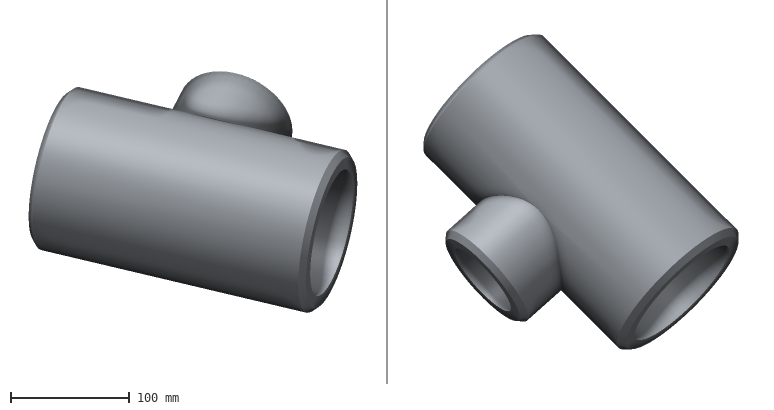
import cadquery as cq

run_length = 248.0
run_diameter = 141.3
bore_diameter = 109.5
wall = (run_diameter - bore_diameter) / 2

branch_diameter = 101.5
branch_reach = 114.3
branch_bore_diameter = branch_diameter - 2 * wall

end_chamfer = 5.2


def run_cylinder(diameter):
    """Cylinder over the full length of the run."""
    return cq.Workplane("YZ").circle(diameter / 2).extrude(run_length / 2, both=True)


def branch_cylinder(diameter):
    """Cylinder from the run axis to the open end of the branch."""
    return cq.Workplane("XZ").circle(diameter / 2).extrude(-branch_reach)


run_body = run_cylinder(run_diameter).faces("<X or >X").chamfer(end_chamfer)
branch_body = branch_cylinder(branch_diameter).faces(">Y").chamfer(end_chamfer)

run_bore = run_cylinder(bore_diameter)
branch_bore = branch_cylinder(branch_bore_diameter)

result = run_body.union(branch_body).cut(run_bore).cut(branch_bore)